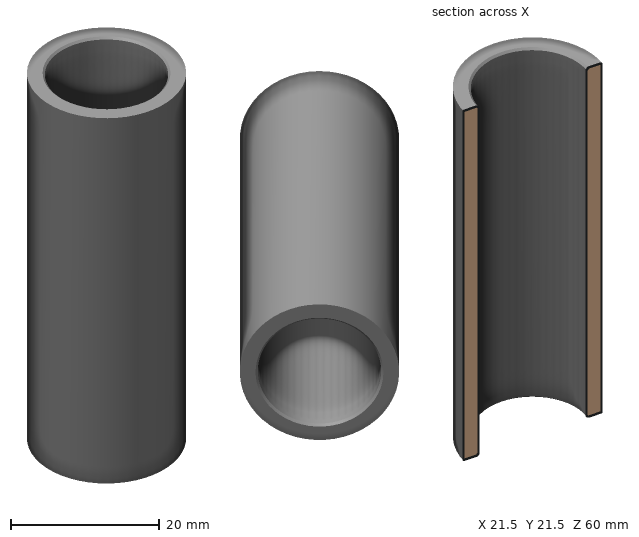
import cadquery as cq

outer_diameter = 21.5
bore_diameter = 16.65
length = 60.0
bore_chamfer = 0.3


def tube():
    """Plain tube standing on the XY plane, its axis along Z."""
    return (
        cq.Workplane("XY")
        .circle(outer_diameter / 2)
        .circle(bore_diameter / 2)
        .extrude(length)
    )


def chamfer_bore_ends(body):
    """Break the edge of the bore at both ends of the tube."""
    bore_edges = cq.selectors.RadiusNthSelector(0)
    return body.edges("%CIRCLE").edges(bore_edges).chamfer(bore_chamfer)


result = chamfer_bore_ends(tube())